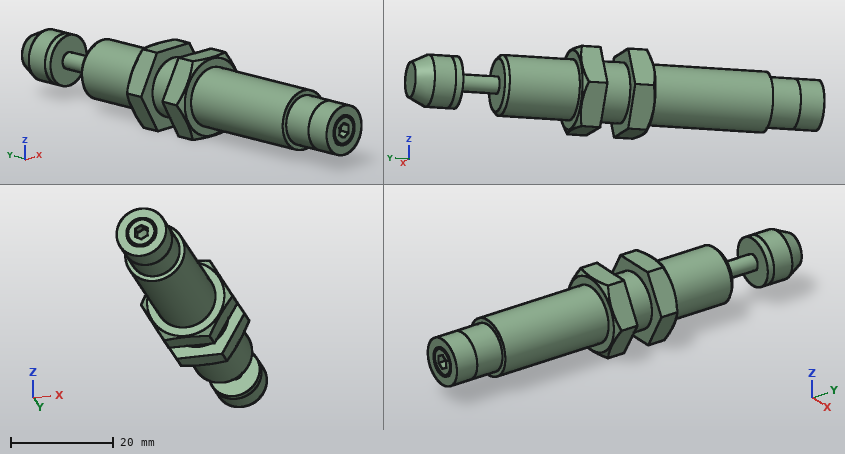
import cadquery as cq
import math


total_length = 83.37
end_cap_length = 4.85
neck_length = 6.0
housing_length = 54.75
rod_length = 8.5
bumper_seat_length = 1.5
bumper_cylinder_length = 4.35

housing_diameter = 12.0
neck_diameter = 10.0
rod_diameter = 3.4
bumper_diameter = 10.3
bumper_tip_diameter = 7.0
housing_front_chamfer = 0.75

screw_diameter = 6.0
screw_chamfer = 0.35
socket_across_flats = 2.6
socket_depth = 2.0
drill_point_angle = 118.0

nut_across_flats = 16.0
nut_thickness = 4.65
nut_chamfer_circle = 15.6
nut_chamfer_angle = 30.0
rear_nut_start = 35.5
front_nut_start = 45.85
front_nut_turn = 0.88

neck_start = end_cap_length
housing_start = neck_start + neck_length
rod_start = housing_start + housing_length
bumper_seat_start = rod_start + rod_length
bumper_start = bumper_seat_start + bumper_seat_length
bumper_length = total_length - bumper_start
bumper_taper_length = bumper_length - bumper_cylinder_length


def section(start):
    """Workplane square to the axis at Y = start, extruding toward +Y, with local x along X."""
    return cq.Workplane(cq.Plane(origin=(0, start, 0), xDir=(1, 0, 0), normal=(0, 1, 0)))


def cylinder(start, length, diameter):
    return section(start).circle(diameter / 2).extrude(length)


def corner_diameter(across_flats):
    return across_flats / math.cos(math.radians(30))


def lock_nut():
    """Hex nut from Y = 0 to +Y with corners on X, bored for the housing and chamfered at Y = 0."""
    corner_radius = corner_diameter(nut_across_flats) / 2
    face_radius = nut_chamfer_circle / 2
    chamfer_depth = (corner_radius - face_radius) * math.tan(math.radians(nut_chamfer_angle))
    hexagon = section(0).polygon(6, 2 * corner_radius).extrude(nut_thickness)
    chamfer_envelope = (
        cq.Workplane("XY")
        .moveTo(0, 0)
        .lineTo(face_radius, 0)
        .lineTo(corner_radius, chamfer_depth)
        .lineTo(corner_radius, nut_thickness)
        .lineTo(0, nut_thickness)
        .close()
        .revolve(360, (0, 0, 0), (0, 1, 0))
    )
    return hexagon.intersect(chamfer_envelope).cut(cylinder(0, nut_thickness, housing_diameter))


def adjuster_screw():
    """Chamfered screw with a hex socket, corners on Z, ending in a conical drill point."""
    socket_corner_diameter = corner_diameter(socket_across_flats)
    point_radius = socket_corner_diameter / 2
    point_depth = point_radius / math.tan(math.radians(drill_point_angle / 2))
    socket = (
        section(0)
        .transformed(rotate=(0, 0, 30))
        .polygon(6, socket_corner_diameter)
        .extrude(socket_depth + point_depth)
    )
    drill_envelope = (
        cq.Workplane("XY")
        .moveTo(0, 0)
        .lineTo(point_radius, 0)
        .lineTo(point_radius, socket_depth)
        .lineTo(0, socket_depth + point_depth)
        .close()
        .revolve(360, (0, 0, 0), (0, 1, 0))
    )
    blank = cylinder(0, end_cap_length, screw_diameter).faces("<Y").chamfer(screw_chamfer)
    return blank.cut(socket.intersect(drill_envelope))


def rubber_bumper():
    """Cylinder followed by a cone that narrows to the flat tip."""
    return (
        cq.Workplane("XY")
        .moveTo(0, bumper_start)
        .lineTo(bumper_diameter / 2, bumper_start)
        .lineTo(bumper_diameter / 2, total_length - bumper_taper_length)
        .lineTo(bumper_tip_diameter / 2, total_length)
        .lineTo(0, total_length)
        .close()
        .revolve(360, (0, 0, 0), (0, 1, 0))
    )


screw = adjuster_screw()
end_cap = cylinder(0, end_cap_length, neck_diameter).cut(cylinder(0, end_cap_length, screw_diameter))
neck = cylinder(neck_start, neck_length, neck_diameter)
housing = cylinder(housing_start, housing_length, housing_diameter).faces(">Y").chamfer(housing_front_chamfer)
rod = cylinder(rod_start, rod_length, rod_diameter)
bumper_seat = cylinder(bumper_seat_start, bumper_seat_length, bumper_diameter)
bumper = rubber_bumper()

rear_nut = lock_nut().translate((0, rear_nut_start, 0))
front_nut = (
    lock_nut()
    .rotate((0, 0, 0), (0, 0, 1), 180)
    .rotate((0, 0, 0), (0, 1, 0), -front_nut_turn)
    .translate((0, front_nut_start + nut_thickness, 0))
)

bodies = [screw, end_cap, neck, housing, rear_nut, front_nut, rod, bumper_seat, bumper]
result = cq.Compound.makeCompound([body.val() for body in bodies])